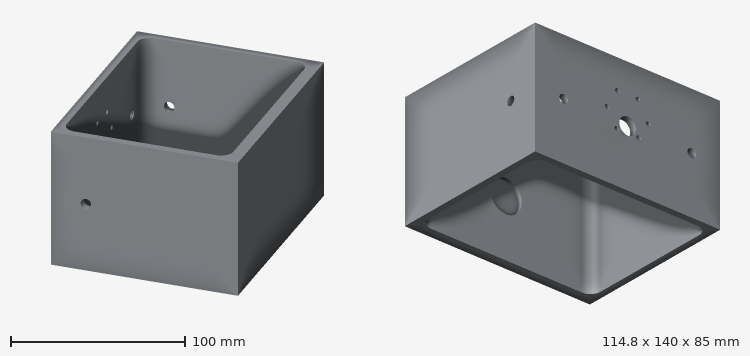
import cadquery as cq
import math

SIZE_X = 114.8
SIZE_Y = 140.0
SIZE_Z = 85.0

THIN_WALL = 5.0
THICK_WALL = 7.5
CORNER_RADIUS = 7.5

MOUNT_DIAMETER = 6.5
MOUNT_INSET = 21.5
SIDE_MOUNT_Y = SIZE_Y / 2 - MOUNT_INSET

SHAFT_DIAMETER = 12.5
SCREW_DIAMETER = 3.4
SCREW_CIRCLE_RADIUS = 15.5
SCREW_CIRCLE_Z = 7.0
UPPER_SCREW_ANGLES = (0, 60, 120, 180)
LOWER_SCREW_Y = 8.3
LOWER_SCREW_Z = -4.8

POCKET_DIAMETER = 24.0
POCKET_DEPTH = 3.0

LEFT_FACE = -SIZE_X / 2
INNER_RIGHT_FACE = SIZE_X / 2 - THICK_WALL


def cylinder_along_x(start_x, length, diameter, points):
    """Cylinders towards +X at (y, z) points."""
    plane = cq.Workplane("YZ", origin=(start_x, 0, 0))
    return plane.pushPoints(points).circle(diameter / 2).extrude(length)


def make_frame():
    """Rectangular tube with rounded inner corners."""
    opening_x = SIZE_X - THIN_WALL - THICK_WALL
    opening_y = SIZE_Y - 2 * THIN_WALL
    opening_centre_x = (THIN_WALL - THICK_WALL) / 2
    opening = (
        cq.Workplane("XY")
        .box(opening_x, opening_y, SIZE_Z)
        .edges("|Z")
        .fillet(CORNER_RADIUS)
        .translate((opening_centre_x, 0, 0))
    )
    return cq.Workplane("XY").box(SIZE_X, SIZE_Y, SIZE_Z).cut(opening)


def screw_points():
    """Four screws on the upper half circle and a pair below the shaft."""
    points = [(-LOWER_SCREW_Y, LOWER_SCREW_Z), (LOWER_SCREW_Y, LOWER_SCREW_Z)]
    for degrees in UPPER_SCREW_ANGLES:
        angle = math.radians(degrees)
        y = SCREW_CIRCLE_RADIUS * math.cos(angle)
        z = SCREW_CIRCLE_Z + SCREW_CIRCLE_RADIUS * math.sin(angle)
        points.append((y, z))
    return points


def make_end_holes():
    """One bore along Y through both end walls."""
    plane = cq.Workplane("XZ").center(LEFT_FACE + MOUNT_INSET, 0)
    return plane.circle(MOUNT_DIAMETER / 2).extrude(SIZE_Y / 2, both=True)


side_mount_points = [(-SIDE_MOUNT_Y, 0), (SIDE_MOUNT_Y, 0)]
centre = [(0, 0)]

result = (
    make_frame()
    .cut(make_end_holes())
    .cut(cylinder_along_x(LEFT_FACE, THIN_WALL, MOUNT_DIAMETER, side_mount_points))
    .cut(cylinder_along_x(LEFT_FACE, THIN_WALL, SHAFT_DIAMETER, centre))
    .cut(cylinder_along_x(LEFT_FACE, THIN_WALL, SCREW_DIAMETER, screw_points()))
    .cut(cylinder_along_x(INNER_RIGHT_FACE, POCKET_DEPTH, POCKET_DIAMETER, centre))
)